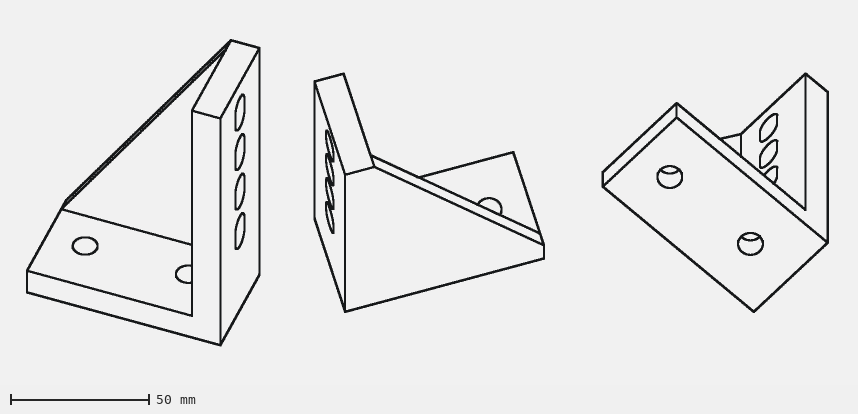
import cadquery as cq

length = 75.0
width = 39.0
height = 115.0

plate_thickness = 11.0
rib_thickness = 5.0

hole_diameter = 9.0
first_hole_x = 15.0
hole_pitch = 40.0
hole_count = 2

slot_width = hole_diameter
slot_length = 15.0
lowest_slot_z = 40.0
slot_pitch = 20.0
slot_count = 4

wall_x = length - plate_thickness
center_y = width / 2


def make_plates():
    """Horizontal base joined to the upright wall at its +X end."""
    base = cq.Workplane("XY").box(length, width, plate_thickness, centered=False)
    wall = (
        cq.Workplane("XY")
        .box(plate_thickness, width, height, centered=False)
        .translate((wall_x, 0, 0))
    )
    return base.union(wall)


def make_rib():
    """Triangular rib flush with the +Y side, filling the inner corner."""
    return (
        cq.Workplane("XZ", origin=(0, width, 0))
        .moveTo(0, plate_thickness)
        .lineTo(wall_x, plate_thickness)
        .lineTo(wall_x, height)
        .close()
        .extrude(rib_thickness)
    )


def make_base_holes():
    """Cutters for the through holes along the base centerline."""
    centers = [(first_hole_x + i * hole_pitch, center_y) for i in range(hole_count)]
    return (
        cq.Workplane("XY")
        .pushPoints(centers)
        .circle(hole_diameter / 2)
        .extrude(plate_thickness)
    )


def make_wall_slots():
    """Cutters for the column of through slots along the wall centerline."""
    centers = [(center_y, lowest_slot_z + i * slot_pitch) for i in range(slot_count)]
    return (
        cq.Workplane("YZ", origin=(wall_x, 0, 0))
        .pushPoints(centers)
        .slot2D(slot_length, slot_width, angle=90)
        .extrude(plate_thickness)
    )


bracket = make_plates().union(make_rib())
result = bracket.cut(make_base_holes()).cut(make_wall_slots())